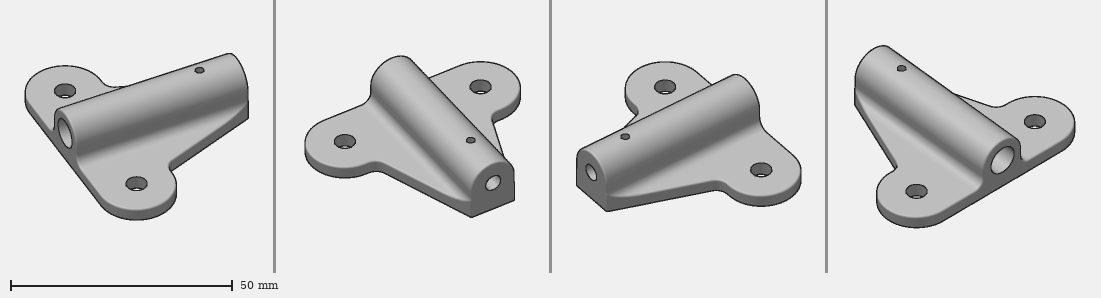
import cadquery as cq
import math

WIDTH = 54.0
LENGTH = 43.4

PLATE_THICKNESS = 3.4
EAR_RADIUS = 9.0
EAR_X = WIDTH / 2 - EAR_RADIUS
EAR_TOP_Y = 2 * EAR_RADIUS
MOUNT_HOLE_DIAMETER = 4.75
TAPER_ANGLE = math.radians(20)
INNER_CORNER_RADIUS = 3.0

BARREL_RADIUS = 5.8
AXIS_Z = 8.0
ROOT_RADIUS = 2.5

MOUTH_RADIUS = 3.5
BORE_DEPTH = 36.7
STOP_RADIUS = 2.8
OUTLET_RADIUS = 2.0

CROSS_HOLE_DIAMETER = 1.95
CROSS_HOLE_Y = 33.85

EDGE_RADIUS = 0.5


def plan_prism():
    """Plate outline: two round ears and a tail tapering to the barrel width."""
    taper_foot_x = BARREL_RADIUS + (LENGTH - EAR_TOP_Y) * math.tan(TAPER_ANGLE)
    prism = (
        cq.Workplane("XY")
        .moveTo(-EAR_X, 0)
        .lineTo(EAR_X, 0)
        .threePointArc((WIDTH / 2, EAR_RADIUS), (EAR_X, EAR_TOP_Y))
        .lineTo(taper_foot_x, EAR_TOP_Y)
        .lineTo(BARREL_RADIUS, LENGTH)
        .lineTo(-BARREL_RADIUS, LENGTH)
        .lineTo(-taper_foot_x, EAR_TOP_Y)
        .lineTo(-EAR_X, EAR_TOP_Y)
        .threePointArc((-WIDTH / 2, EAR_RADIUS), (-EAR_X, 0))
        .close()
        .extrude(AXIS_Z + BARREL_RADIUS)
    )
    margin = 0.05
    corners = cq.selectors.BoxSelector(
        (-taper_foot_x - margin, EAR_TOP_Y - margin, 0),
        (taper_foot_x + margin, EAR_TOP_Y + margin, AXIS_Z + BARREL_RADIUS),
    )
    prism = prism.edges("|Z").edges(corners).fillet(INNER_CORNER_RADIUS)
    prism = prism.faces(">Y").edges("|Z").fillet(EDGE_RADIUS)
    return prism.faces("<Z").edges().fillet(EDGE_RADIUS)


def section_prism():
    """Cross-section along Y: flat plate blending into the round-topped barrel."""
    root_x = BARREL_RADIUS + ROOT_RADIUS
    root_z = PLATE_THICKNESS + ROOT_RADIUS
    root_mid = ROOT_RADIUS * math.sqrt(0.5)
    prism = (
        cq.Workplane("XZ")
        .moveTo(-WIDTH / 2, 0)
        .lineTo(WIDTH / 2, 0)
        .lineTo(WIDTH / 2, PLATE_THICKNESS)
        .lineTo(root_x, PLATE_THICKNESS)
        .threePointArc((root_x - root_mid, root_z - root_mid), (BARREL_RADIUS, root_z))
        .lineTo(BARREL_RADIUS, AXIS_Z)
        .threePointArc((0, AXIS_Z + BARREL_RADIUS), (-BARREL_RADIUS, AXIS_Z))
        .lineTo(-BARREL_RADIUS, root_z)
        .threePointArc((root_mid - root_x, root_z - root_mid), (-root_x, PLATE_THICKNESS))
        .lineTo(-WIDTH / 2, PLATE_THICKNESS)
        .close()
        .extrude(-LENGTH)
    )
    return prism.faces(">Y").edges("not <Z").fillet(EDGE_RADIUS)


def round_upper_rim(body):
    """Round the plate rim; its tangent chain also runs over the barrel's front end."""
    ear_rim = cq.selectors.NearestToPointSelector((WIDTH / 2, EAR_RADIUS, PLATE_THICKNESS))
    return body.edges("%CIRCLE").edges(ear_rim).fillet(EDGE_RADIUS)


def barrel_bore():
    """Revolved cutter: front bore narrowing to a 45 degree conical stop, narrow outlet to the back."""
    return (
        cq.Workplane("XY")
        .moveTo(0, 0)
        .lineTo(MOUTH_RADIUS, 0)
        .lineTo(STOP_RADIUS, BORE_DEPTH)
        .lineTo(OUTLET_RADIUS, BORE_DEPTH + STOP_RADIUS - OUTLET_RADIUS)
        .lineTo(OUTLET_RADIUS, LENGTH)
        .lineTo(0, LENGTH)
        .close()
        .revolve(360, (0, 0, 0), (0, 1, 0))
        .translate((0, 0, AXIS_Z))
    )


def vertical_holes(points, diameter):
    """Cutters for round holes through the full height."""
    return cq.Workplane("XY").pushPoints(points).circle(diameter / 2).extrude(AXIS_Z + BARREL_RADIUS)


body = round_upper_rim(plan_prism().intersect(section_prism()))
mount_points = [(side * EAR_X, EAR_RADIUS) for side in (-1, 1)]
result = (
    body.cut(barrel_bore())
    .cut(vertical_holes(mount_points, MOUNT_HOLE_DIAMETER))
    .cut(vertical_holes([(0, CROSS_HOLE_Y)], CROSS_HOLE_DIAMETER))
)